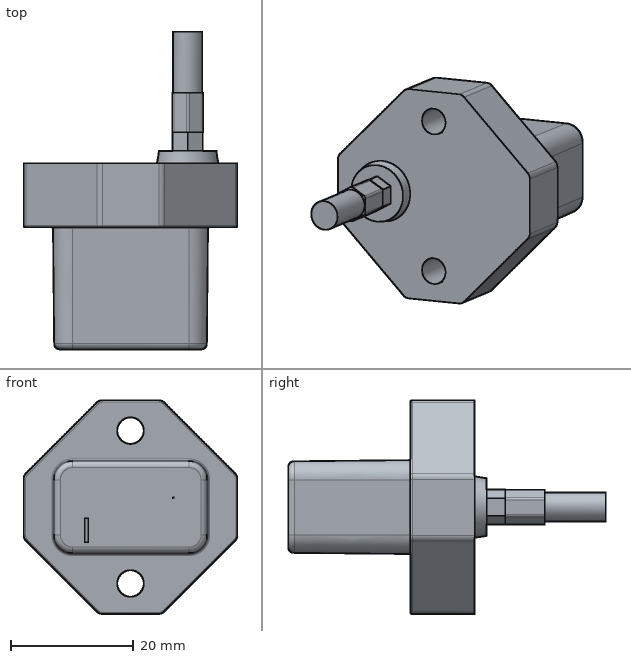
import cadquery as cq
import math

PLATE_SIZE = 35.0
PLATE_DIAGONAL = 32.0
PLATE_THICKNESS = 10.5
PLATE_CORNER_RADIUS = 1.3
PLATE_RIM_RADIUS = 0.3

HOLE_DIAMETER = 4.3
HOLE_SPACING = 25.0

HOUSING_LENGTH = 20.0
HOUSING_FRONT_WIDTH = 25.0
HOUSING_FRONT_HEIGHT = 15.0
HOUSING_FRONT_CORNER_RADIUS = 3.0
HOUSING_TAPER = 0.2
HOUSING_RIM_RADIUS = 1.0
HOUSING_ROOT_RADIUS = 0.2

MARKER_X = -7.2
MARKER_Z = -3.8
MARKER_WIDTH = 0.6
MARKER_HEIGHT = 3.9
MARKER_DEPTH = 0.2

OUTLET_X = 9.35
COLLAR_BASE_DIAMETER = 10.1
COLLAR_END_DIAMETER = 9.45
COLLAR_LENGTH = 2.0
SHARP_HEX_ACROSS_FLATS = 5.0
SHARP_HEX_LENGTH = 3.0
ROUNDED_HEX_ACROSS_FLATS = 5.1
ROUNDED_HEX_LENGTH = 6.5
ROUNDED_HEX_CORNER_RADIUS = 0.5
CABLE_DIAMETER = 4.8
CABLE_LENGTH = 10.0

HEX_SIDES = 6
COLLAR_END_Y = PLATE_THICKNESS + COLLAR_LENGTH
HEX_STEP_Y = COLLAR_END_Y + SHARP_HEX_LENGTH
HEX_END_Y = HEX_STEP_Y + ROUNDED_HEX_LENGTH


def plane_at(y, x=0.0):
    """Work plane facing +Y, with local x along +Z and local y along +X."""
    return cq.Workplane(cq.Plane(origin=(x, y, 0), xDir=(0, 0, 1), normal=(0, 1, 0)))


def make_plate():
    square = plane_at(0).rect(PLATE_SIZE, PLATE_SIZE).extrude(PLATE_THICKNESS)
    diamond = (
        plane_at(0)
        .transformed(rotate=(0, 0, 45))
        .rect(PLATE_DIAGONAL, PLATE_DIAGONAL)
        .extrude(PLATE_THICKNESS)
    )
    plate = square.intersect(diamond)
    plate = plate.edges("|Y").fillet(PLATE_CORNER_RADIUS)
    return plate.faces("<Y").edges().fillet(PLATE_RIM_RADIUS)


def housing_section(growth):
    """Rounded rectangle of the housing front, grown outwards on every side."""
    return (
        cq.Sketch()
        .rect(HOUSING_FRONT_HEIGHT + 2 * growth, HOUSING_FRONT_WIDTH + 2 * growth)
        .vertices()
        .fillet(HOUSING_FRONT_CORNER_RADIUS + growth)
    )


def make_housing():
    front_end = housing_section(0).moved(cq.Location(cq.Vector(0, 0, -HOUSING_LENGTH)))
    housing = plane_at(0).placeSketch(front_end, housing_section(HOUSING_TAPER)).loft()
    return housing.faces("<Y").edges().fillet(HOUSING_RIM_RADIUS)


def round_housing_root(body):
    """Fillet the seam where the housing meets the plate front."""
    plate_front = body.faces(cq.selectors.NearestToPointSelector((0, 0, 0))).val()
    seam = body.newObject(plate_front.innerWires()).edges()
    return seam.fillet(HOUSING_ROOT_RADIUS)


def make_hexagon(start_y, across_flats, length):
    """Hexagonal bar with two corners pointing along Z."""
    across_corners = across_flats / math.cos(math.pi / HEX_SIDES)
    return plane_at(start_y, OUTLET_X).polygon(HEX_SIDES, across_corners).extrude(length)


def make_outlet():
    collar = (
        plane_at(PLATE_THICKNESS, OUTLET_X)
        .circle(COLLAR_BASE_DIAMETER / 2)
        .workplane(offset=COLLAR_LENGTH)
        .circle(COLLAR_END_DIAMETER / 2)
        .loft()
    )
    sharp_hex = make_hexagon(COLLAR_END_Y, SHARP_HEX_ACROSS_FLATS, SHARP_HEX_LENGTH)
    rounded_hex = make_hexagon(HEX_STEP_Y, ROUNDED_HEX_ACROSS_FLATS, ROUNDED_HEX_LENGTH)
    rounded_hex = rounded_hex.edges("|Y").fillet(ROUNDED_HEX_CORNER_RADIUS)
    cable = plane_at(HEX_END_Y, OUTLET_X).circle(CABLE_DIAMETER / 2).extrude(CABLE_LENGTH)
    return collar.union(sharp_hex).union(rounded_hex).union(cable)


def make_mounting_holes():
    return (
        plane_at(0)
        .pushPoints([(-HOLE_SPACING / 2, 0), (HOLE_SPACING / 2, 0)])
        .circle(HOLE_DIAMETER / 2)
        .extrude(PLATE_THICKNESS)
    )


def make_marker():
    return (
        plane_at(-HOUSING_LENGTH)
        .center(MARKER_Z, MARKER_X)
        .rect(MARKER_HEIGHT, MARKER_WIDTH)
        .extrude(MARKER_DEPTH)
    )


body = make_plate().union(make_housing())
body = round_housing_root(body)
result = body.union(make_outlet()).cut(make_mounting_holes()).cut(make_marker())